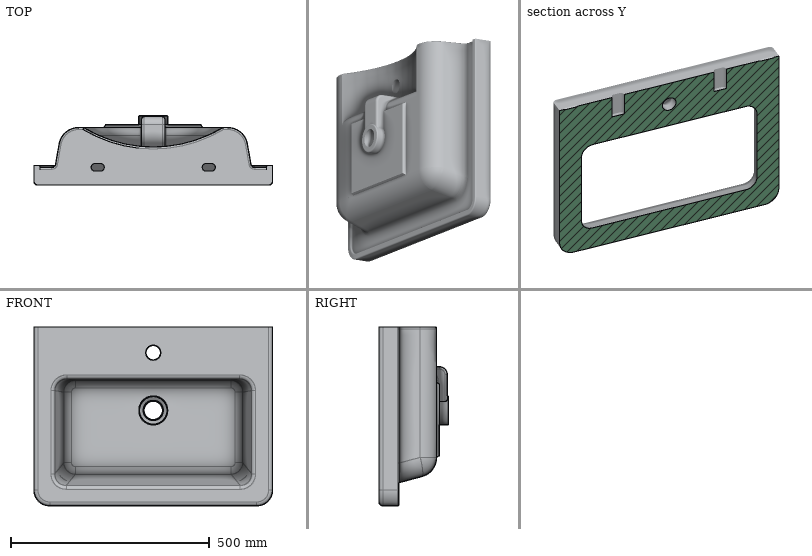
import cadquery as cq
import math

WIDTH = 600.0
DEPTH = 175.0
HEIGHT = 450.0

RIM_DEPTH = 50.0
SLAB_DEPTH = 45.0
LIP_WIDTH = 15.0
SLAB_CORNER_RADIUS = 40.0
FRONT_EDGE_RADIUS = 10.0
LIP_EDGE_RADIUS = 3.0

BOWL_BACK = 145.0
BOWL_HALF_WIDTH_AT_BACK = 229.4
BOWL_BOTTOM_AT_BACK = 83.6
BOWL_SIDE_DRAFT = 10.0
BOWL_BOTTOM_DRAFT = 15.0
BOWL_RADIUS = 50.0
BOWL_FOOT_RADIUS = 10.0
TOP_EDGE_RADIUS = 5.0

SCOOP_HALF_WIDTH = 175.0
SCOOP_LOWEST_Y = 96.0
SCOOP_FLOOR_Z = 335.0
SCOOP_FLOOR_RADIUS = 20.0

BASIN_DEPTH = 120.0
BASIN_HALF_WIDTH = 249.0
BASIN_BOTTOM = 49.3
BASIN_BOTTOM_DRAFT = 16.0
BASIN_TOP = 319.8
BASIN_SIDE_DRAFT = 13.0
BASIN_TOP_DRAFT = 2.3
BASIN_CORNER_RADIUS = 30.0
BASIN_FLOOR_RADIUS = 20.0
BASIN_LIP_RADIUS = 10.0

DRAIN_Z = 240.0
DRAIN_BOSS_DIAMETER = 73.0
DRAIN_BOSS_EDGE_RADIUS = 3.0
DRAIN_SEAT_DIAMETER = 73.0
DRAIN_CONE_TOP_DIAMETER = 69.0
DRAIN_CONE_TOP_DEPTH = 3.0
DRAIN_CONE_BOTTOM_DIAMETER = 51.0
DRAIN_CONE_BOTTOM_DEPTH = 9.0
DRAIN_BORE_START_DEPTH = 14.0
DRAIN_BORE_DIAMETER = 46.0

CHANNEL_WIDTH = 58.0
CHANNEL_BACK = 172.0
CHANNEL_TOP = 350.0
CHANNEL_BEND_RADIUS = 20.0
CHANNEL_EDGE_RADIUS = 6.0
CHANNEL_FOOT_RADIUS = 3.5
CHANNEL_OVERLAP = 10.0

PAD_BACK = 152.0
PAD_WIDTH = 248.0
PAD_BOTTOM = 122.0
PAD_TOP = 310.0
PAD_EDGE_INSET = 4.0

TAP_HOLE_DIAMETER = 36.0
TAP_HOLE_CHAMFER = 1.0
TAP_HOLE_CHAMFER_ANGLE = 45.0
TAP_HOLE_Z = 385.0
SLOT_LENGTH = 33.0
SLOT_WIDTH = 19.0
SLOT_X = 139.5
SLOT_Y = 45.0
SLOT_DEPTH = 60.0

PICK = 1.0


def slope(angle):
    return math.tan(math.radians(angle))


def block(x_min, x_max, y_min, y_max, z_min, z_max):
    size = (x_max - x_min, y_max - y_min, z_max - z_min)
    return cq.Workplane("XY").box(*size, centered=False).translate((x_min, y_min, z_min))


def cylinder_along_y(diameter, z, y_start, y_end):
    plane = cq.Workplane("XZ", origin=(0, y_start, z))
    return plane.circle(diameter / 2).extrude(y_start - y_end)


def drafted_body(depth, front_half_width, back_half_width, front_z, back_z):
    """Body between Y = 0 and depth; front_z and back_z are (bottom, top) pairs."""
    plan = (
        cq.Workplane("XY")
        .polyline([
            (-front_half_width, 0),
            (front_half_width, 0),
            (back_half_width, depth),
            (-back_half_width, depth),
        ])
        .close()
        .extrude(HEIGHT)
    )
    side = (
        cq.Workplane("YZ")
        .polyline([(0, front_z[0]), (depth, back_z[0]), (depth, back_z[1]), (0, front_z[1])])
        .close()
        .extrude(WIDTH / 2, both=True)
    )
    return plan.intersect(side)


def slab_outline(inset, depth):
    """Slab with rounded lower corners, set in from the outer sides and bottom."""
    slab = block(-WIDTH / 2 + inset, WIDTH / 2 - inset, 0, depth, inset, HEIGHT)
    return slab.edges("|Y and <Z").fillet(SLAB_CORNER_RADIUS - inset)


def make_scoop():
    """Space behind the deck: an arc in plan, standing on the rounded top of the bowl."""
    arc_prism = (
        cq.Workplane("XY")
        .moveTo(-SCOOP_HALF_WIDTH, BOWL_BACK)
        .threePointArc((0, SCOOP_LOWEST_Y), (SCOOP_HALF_WIDTH, BOWL_BACK))
        .close()
        .extrude(HEIGHT)
    )
    bowl_top = block(-WIDTH / 2, WIDTH / 2, 0, BOWL_BACK, 0, SCOOP_FLOOR_Z)
    bowl_top = bowl_top.edges(">Y and >Z").fillet(SCOOP_FLOOR_RADIUS)
    return arc_prism.cut(bowl_top)


def make_core():
    """Slab and bowl in one, with the foot of the bowl and the top back edge rounded."""
    front_half_width = BOWL_HALF_WIDTH_AT_BACK + BOWL_BACK * slope(BOWL_SIDE_DRAFT)
    front_bottom = BOWL_BOTTOM_AT_BACK - BOWL_BACK * slope(BOWL_BOTTOM_DRAFT)
    bowl = drafted_body(
        BOWL_BACK,
        front_half_width,
        BOWL_HALF_WIDTH_AT_BACK,
        (front_bottom, HEIGHT),
        (BOWL_BOTTOM_AT_BACK, HEIGHT),
    )
    behind_front = cq.selectors.BoxSelector((-WIDTH, PICK, 0), (WIDTH, DEPTH, HEIGHT - PICK))
    bowl = bowl.edges(behind_front).fillet(BOWL_RADIUS)
    core = bowl.union(slab_outline(LIP_WIDTH / 2, SLAB_DEPTH))
    foot = cq.selectors.BoxSelector(
        (-front_half_width, SLAB_DEPTH - PICK, front_bottom),
        (front_half_width, SLAB_DEPTH + PICK, HEIGHT - PICK),
    )
    core = core.edges(foot).fillet(BOWL_FOOT_RADIUS)
    core = core.cut(make_scoop())
    top_back = cq.selectors.BoxSelector(
        (-WIDTH, SLAB_DEPTH - PICK, HEIGHT - PICK), (WIDTH, DEPTH, HEIGHT + PICK)
    )
    return core.edges(top_back).fillet(TOP_EDGE_RADIUS)


def make_rim():
    """Front slab edge with the raised lip along both sides and the bottom."""
    slab = slab_outline(0, RIM_DEPTH)
    rim = slab.cut(slab_outline(LIP_WIDTH, RIM_DEPTH))
    return rim.faces(">Y").edges("not(>Z)").fillet(LIP_EDGE_RADIUS)


def make_front_round():
    """Slab outline with a rounded front edge that stays square along the top."""
    slab = slab_outline(0, DEPTH)
    return slab.faces("<Y").edges("not(>Z)").fillet(FRONT_EDGE_RADIUS)


def make_basin():
    """Drafted pocket with rounded corners and a rounded floor edge."""
    basin = drafted_body(
        BASIN_DEPTH,
        BASIN_HALF_WIDTH,
        BASIN_HALF_WIDTH - BASIN_DEPTH * slope(BASIN_SIDE_DRAFT),
        (BASIN_BOTTOM, BASIN_TOP),
        (BASIN_BOTTOM + BASIN_DEPTH * slope(BASIN_BOTTOM_DRAFT),
         BASIN_TOP - BASIN_DEPTH * slope(BASIN_TOP_DRAFT)),
    )
    basin = basin.edges("not(|X or |Y or |Z)").fillet(BASIN_CORNER_RADIUS)
    return basin.faces(">Y").edges().fillet(BASIN_FLOOR_RADIUS)


def make_pad():
    pad_height = PAD_BACK - BOWL_BACK
    draft = math.degrees(math.atan(PAD_EDGE_INSET / pad_height))
    return (
        cq.Workplane("XZ", origin=(0, BOWL_BACK, (PAD_BOTTOM + PAD_TOP) / 2))
        .rect(PAD_WIDTH, PAD_TOP - PAD_BOTTOM)
        .extrude(-pad_height, taper=draft)
    )


def add_channel(basin_body):
    """Join the overflow channel to the bowl and round its foot where it meets the bowl."""
    half_width = CHANNEL_WIDTH / 2
    channel = block(
        -half_width, half_width, SCOOP_LOWEST_Y - CHANNEL_OVERLAP, CHANNEL_BACK, DRAIN_Z, CHANNEL_TOP
    )
    channel = channel.edges("|X and >Y and >Z").fillet(CHANNEL_BEND_RADIUS)
    channel = channel.faces(">Y").edges("|Z").fillet(CHANNEL_EDGE_RADIUS)
    channel = channel.cut(make_basin())
    joined = basin_body.union(channel)
    for side in (-half_width, half_width):
        foot = cq.selectors.BoxSelector(
            (side - PICK, SCOOP_LOWEST_Y, DRAIN_Z - PICK),
            (side + PICK, BOWL_BACK + PICK, SCOOP_FLOOR_Z + PICK),
        )
        joined = joined.edges(foot).edges("|Y").fillet(CHANNEL_FOOT_RADIUS)
    return joined


def make_drain_boss():
    boss = cylinder_along_y(DRAIN_BOSS_DIAMETER, DRAIN_Z, BASIN_DEPTH, DEPTH)
    return boss.faces(">Y").edges().fillet(DRAIN_BOSS_EDGE_RADIUS)


def make_drain_hole():
    """Stepped conical seat leading into a straight bore, turned about the drain axis."""
    bore_radius = DRAIN_BORE_DIAMETER / 2
    half_section = (
        cq.Workplane("XY", origin=(0, BASIN_DEPTH, DRAIN_Z))
        .polyline([
            (0, 0),
            (DRAIN_SEAT_DIAMETER / 2, 0),
            (DRAIN_CONE_TOP_DIAMETER / 2, DRAIN_CONE_TOP_DEPTH),
            (DRAIN_CONE_BOTTOM_DIAMETER / 2, DRAIN_CONE_BOTTOM_DEPTH),
            (bore_radius, DRAIN_BORE_START_DEPTH),
            (bore_radius, DEPTH - BASIN_DEPTH),
            (0, DEPTH - BASIN_DEPTH),
        ])
        .close()
    )
    return half_section.revolve(360, (0, 0, 0), (0, 1, 0))


def make_tap_hole():
    hole = cylinder_along_y(TAP_HOLE_DIAMETER, TAP_HOLE_Z, 0, DEPTH)
    chamfer = (
        cq.Workplane("XZ", origin=(0, 0, TAP_HOLE_Z))
        .circle(TAP_HOLE_DIAMETER / 2 + TAP_HOLE_CHAMFER)
        .extrude(-TAP_HOLE_CHAMFER, taper=TAP_HOLE_CHAMFER_ANGLE)
    )
    return hole.union(chamfer)


def make_slots():
    return (
        cq.Workplane("XY", origin=(0, SLOT_Y, HEIGHT))
        .pushPoints([(-SLOT_X, 0), (SLOT_X, 0)])
        .slot2D(SLOT_LENGTH, SLOT_WIDTH)
        .extrude(-SLOT_DEPTH)
    )


body = make_core().union(make_rim()).intersect(make_front_round())
body = body.cut(make_basin())
basin_mouth = cq.selectors.BoxSelector(
    (-BASIN_HALF_WIDTH - PICK, -PICK, BASIN_BOTTOM - PICK),
    (BASIN_HALF_WIDTH + PICK, PICK, BASIN_TOP + PICK),
)
body = body.edges(basin_mouth).fillet(BASIN_LIP_RADIUS)
body = add_channel(body)
for addition in (make_pad(), make_drain_boss()):
    body = body.union(addition)
for opening in (make_drain_hole(), make_tap_hole(), make_slots()):
    body = body.cut(opening)
result = body